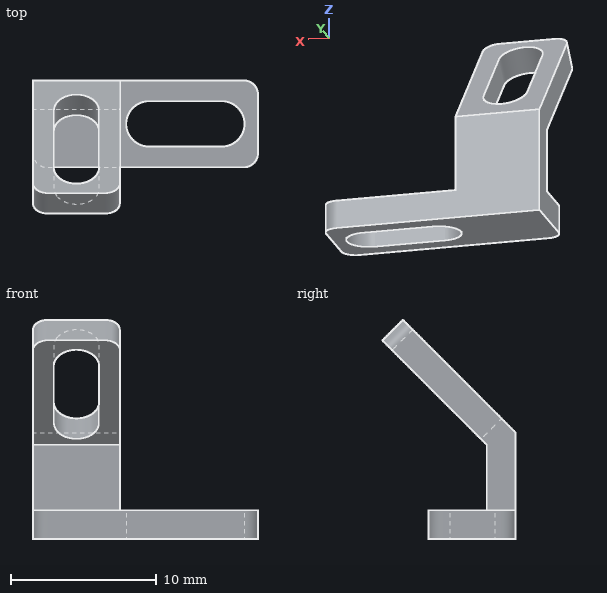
import cadquery as cq
import math

base_length = 15.5
base_depth = 6.0
thickness = 2.0
arm_width = 6.0
inner_bend_height = 6.5
arm_length = 10.97
arm_angle = 45.0
corner_radius = 1.0
slot_width = 3.1
base_slot_length = 8.12
base_slot_margin = 0.95
arm_slot_length = 8.65
arm_slot_margin = 0.93

lean_sin = math.sin(math.radians(arm_angle))
lean_cos = math.cos(math.radians(arm_angle))
outer_bend_height = inner_bend_height + thickness * math.tan(math.radians(arm_angle / 2))
outer_tip = (-arm_length * lean_sin, outer_bend_height + arm_length * lean_cos)
inner_tip = (outer_tip[0] - thickness * lean_cos, outer_tip[1] - thickness * lean_sin)


def make_base():
    """Flat foot with a lengthwise slot; its back left corner stays square under the upright."""
    plate = cq.Workplane("XY").box(base_length, base_depth, thickness, centered=False)
    plate = plate.translate((0, -base_depth, 0))
    plate = plate.edges("|Z and (>X or <Y)").fillet(corner_radius)
    slot_center = base_length - base_slot_margin - base_slot_length / 2
    slot = (
        cq.Workplane("XY")
        .center(slot_center, -base_depth / 2)
        .slot2D(base_slot_length, slot_width)
        .extrude(thickness)
    )
    return plate.cut(slot)


def make_arm():
    """Upright bent forward into a leaning arm with a rounded tip and a slot."""
    profile = [
        (0, 0),
        (0, outer_bend_height),
        outer_tip,
        inner_tip,
        (-thickness, inner_bend_height),
        (-thickness, 0),
    ]
    arm = cq.Workplane("YZ").polyline(profile).close().extrude(arm_width)

    outer_face = cq.Plane(
        origin=(arm_width / 2, 0, outer_bend_height),
        xDir=(0, -lean_sin, lean_cos),
        normal=(0, lean_cos, lean_sin),
    )
    tip_direction = cq.Vector(0, -lean_sin, lean_cos)
    arm = arm.faces(cq.DirectionMinMaxSelector(tip_direction)).edges("not |X").fillet(corner_radius)
    slot_center = arm_length - arm_slot_margin - arm_slot_length / 2
    slot = (
        cq.Workplane(outer_face)
        .center(slot_center, 0)
        .slot2D(arm_slot_length, slot_width)
        .extrude(-thickness)
    )
    return arm.cut(slot)


result = make_base().union(make_arm())